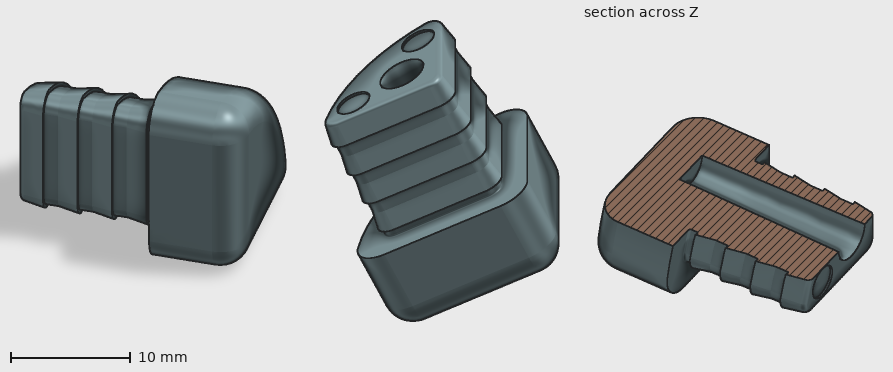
import cadquery as cq
import math

total_length = 20.0
stem_length = 12.0
head_length = total_length - stem_length

head_arc_radius = 16.0
head_corner_radius = 2.5
head_edge_radius = head_corner_radius

wall = 2.0
crest_corner_radius = 1.5
barb_length = 1.8
barb_angle = 10.0
barb_slope = math.tan(math.radians(barb_angle))
barb_height = barb_length * barb_slope
barb_pitch = 3.0
first_crest = 2.2
barb_count = 4
tip_edge_radius = 0.5
root_radius = 0.2

core_center = 5.9
core_radius = 2.0
core_depth = 16.0
core_draft = 1.0

recess_near = 4.4
recess_far = 10.4
recess_radius = 1.5
recess_depth = 0.2


def quarter_outline(x, inset, arc_radius, corner_radius):
    """Rounded quarter-disc wire at X = x, with straight sides at Y = Z = inset."""
    near = inset + corner_radius
    center_radius = arc_radius - corner_radius
    far = math.sqrt(center_radius**2 - near**2)
    stretch = arc_radius / center_radius
    diagonal = math.sqrt(0.5)
    tangent_angle = math.atan2(near, far)
    mid_angle = (tangent_angle - math.pi / 2) / 2
    mid_far = far + corner_radius * math.cos(mid_angle)
    mid_near = near + corner_radius * math.sin(mid_angle)
    mid_square = near - corner_radius * diagonal
    return (
        cq.Workplane("YZ", origin=(x, 0, 0))
        .moveTo(near, inset)
        .lineTo(far, inset)
        .threePointArc((mid_far, mid_near), (far * stretch, near * stretch))
        .threePointArc((arc_radius * diagonal, arc_radius * diagonal), (near * stretch, far * stretch))
        .threePointArc((mid_near, mid_far), (inset, far))
        .lineTo(inset, near)
        .threePointArc((mid_square, mid_square), (near, inset))
        .close()
    )


def stem_outline(x, drop):
    """Stem outline lying the given distance below the barb crests."""
    return quarter_outline(x, wall + drop, head_arc_radius - wall - drop, crest_corner_radius - drop)


def barb(start, crest):
    """Tapered section that widens from start up to its crest."""
    lower = stem_outline(start, (crest - start) * barb_slope).val()
    upper = stem_outline(crest, 0).val()
    return cq.Workplane(cq.Solid.makeLoft([lower, upper], True))


def make_head():
    outline = quarter_outline(stem_length, 0, head_arc_radius, head_corner_radius)
    return outline.extrude(head_length).faces(">X").edges().fillet(head_edge_radius)


def make_stem():
    tip = barb(0, first_crest).faces("<X").edges().fillet(tip_edge_radius)
    shank = stem_outline(first_crest, barb_height).extrude(stem_length - first_crest)
    stem = tip.union(shank)
    for index in range(1, barb_count):
        crest = first_crest + index * barb_pitch
        stem = stem.union(barb(crest - barb_length, crest))
    return stem


def make_core():
    end_radius = core_radius - core_depth * math.tan(math.radians(core_draft))
    axis_start = cq.Vector(0, core_center, core_center)
    return cq.Solid.makeCone(core_radius, end_radius, core_depth, axis_start, cq.Vector(1, 0, 0))


def make_recesses():
    centers = [(recess_near, recess_far), (recess_far, recess_near)]
    return cq.Workplane("YZ").pushPoints(centers).circle(recess_radius).extrude(recess_depth)


body = make_head().union(make_stem())
shoulder = body.faces(cq.selectors.BoxSelector(
    (stem_length - root_radius, -wall, -wall),
    (stem_length + root_radius, head_arc_radius, head_arc_radius),
))
root_edges = shoulder.val().innerWires()[0].Edges()
body = body.newObject(root_edges).fillet(root_radius)
result = cq.Workplane(body.cut(make_core()).cut(make_recesses()).solids().val())